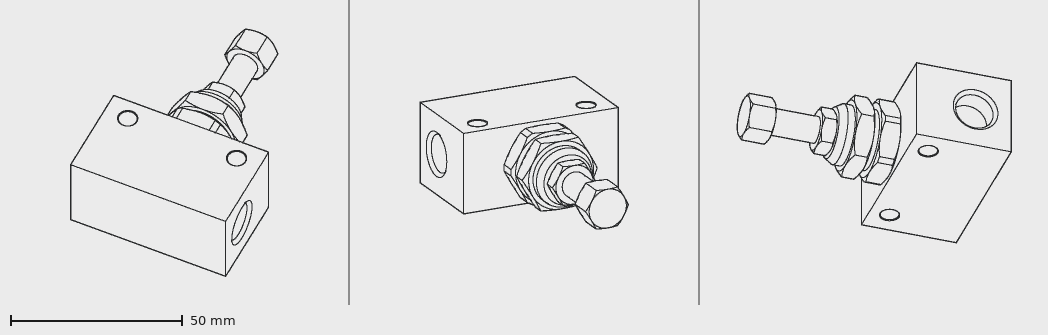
import cadquery as cq
import math

block_width = 50.0
block_depth = 29.15
block_height = 25.0
overall_length = 73.8

mount_hole_diameter = 5.45
mount_hole_chamfer = 0.2
mount_hole_spacing = 35.1
mount_hole_y = 23.0

port_diameter = 11.5
port_mouth_diameter = 13.7
port_depth = 7.1
port_y = 11.0

base_hex_length = 6.0
base_hex_flats = 22.2
base_hex_corner_diameter = 24.6
panel_nut_length = 5.6
panel_nut_flats = 21.0
small_hex_flats = 12.0
lock_nut_length = 4.5
knob_length = 8.0
hex_chamfer_angle = 30.0

collar_diameter = 18.15
collar_tip_diameter = 15.4
collar_gap = 1.85
collar_land = 2.2
collar_taper_length = 2.3
rod_diameter = 8.0

base_hex_y = block_depth
panel_nut_y = base_hex_y + base_hex_length + collar_gap
collar_taper_y = panel_nut_y + panel_nut_length + collar_land
lock_nut_y = collar_taper_y + collar_taper_length
knob_y = overall_length - knob_length


def revolve_about_y(profile):
    """Solid of revolution from (radius, y) points."""
    return cq.Workplane("XY").polyline(profile).close().revolve(360, (0, 0, 0), (0, 1, 0))


def hex_part(y_start, length, flats, corner_diameter=None):
    """Hexagon with flats facing +Z and -Z, its corners turned to a conical chamfer at both ends."""
    full_corner_diameter = flats / math.cos(math.radians(30))
    outer_radius = (corner_diameter or full_corner_diameter) / 2
    end_radius = flats / 2
    chamfer_length = (outer_radius - end_radius) * math.tan(math.radians(hex_chamfer_angle))
    y_end = y_start + length
    prism = (
        cq.Workplane("XZ", origin=(0, y_start, 0))
        .polygon(6, full_corner_diameter)
        .extrude(-length)
    )
    turned_envelope = revolve_about_y([
        (0, y_start),
        (end_radius, y_start),
        (outer_radius, y_start + chamfer_length),
        (outer_radius, y_end - chamfer_length),
        (end_radius, y_end),
        (0, y_end),
    ])
    return prism.intersect(turned_envelope)


def mount_hole_cutter():
    """Through bore on the Z axis, widening at 45 degrees to both block faces."""
    bore_radius = mount_hole_diameter / 2
    rim_radius = bore_radius + mount_hole_chamfer
    z_face = block_height / 2
    z_chamfer = z_face - mount_hole_chamfer
    profile = [
        (0, -z_face),
        (rim_radius, -z_face),
        (bore_radius, -z_chamfer),
        (bore_radius, z_chamfer),
        (rim_radius, z_face),
        (0, z_face),
    ]
    return cq.Workplane("XZ").polyline(profile).close().revolve(360, (0, 0, 0), (0, 1, 0))


def port_cutter():
    """Blind bore with a 45 degree countersunk mouth, entering from the -X end."""
    bore_radius = port_diameter / 2
    mouth_radius = port_mouth_diameter / 2
    mouth_depth = mouth_radius - bore_radius
    x_face = -block_width / 2
    x_floor = x_face + port_depth
    profile = [
        (x_face, port_y),
        (x_face, port_y + mouth_radius),
        (x_face + mouth_depth, port_y + bore_radius),
        (x_floor, port_y + bore_radius),
        (x_floor, port_y),
    ]
    return cq.Workplane("XY").polyline(profile).close().revolve(360, (0, port_y, 0), (1, port_y, 0))


def valve_block():
    block = cq.Workplane("XY").box(block_width, block_depth, block_height, centered=(True, False, True))
    for hole_x in (-mount_hole_spacing / 2, mount_hole_spacing / 2):
        block = block.cut(mount_hole_cutter().translate((hole_x, mount_hole_y, 0)))
    port = port_cutter()
    return block.cut(port).cut(port.mirror("YZ"))


def spindle_core():
    """Collar with its tapered tip, and the rod that carries the knob."""
    collar_radius = collar_diameter / 2
    rod_radius = rod_diameter / 2
    return revolve_about_y([
        (0, base_hex_y),
        (collar_radius, base_hex_y),
        (collar_radius, collar_taper_y),
        (collar_tip_diameter / 2, lock_nut_y),
        (rod_radius, lock_nut_y),
        (rod_radius, knob_y),
        (0, knob_y),
    ])


base_hex = hex_part(base_hex_y, base_hex_length, base_hex_flats, base_hex_corner_diameter)
panel_nut = hex_part(panel_nut_y, panel_nut_length, panel_nut_flats)
lock_nut = hex_part(lock_nut_y, lock_nut_length, small_hex_flats)
knob = hex_part(knob_y, knob_length, small_hex_flats)

result = valve_block().union(spindle_core())
for hexagon in (base_hex, panel_nut, lock_nut, knob):
    result = result.union(hexagon)